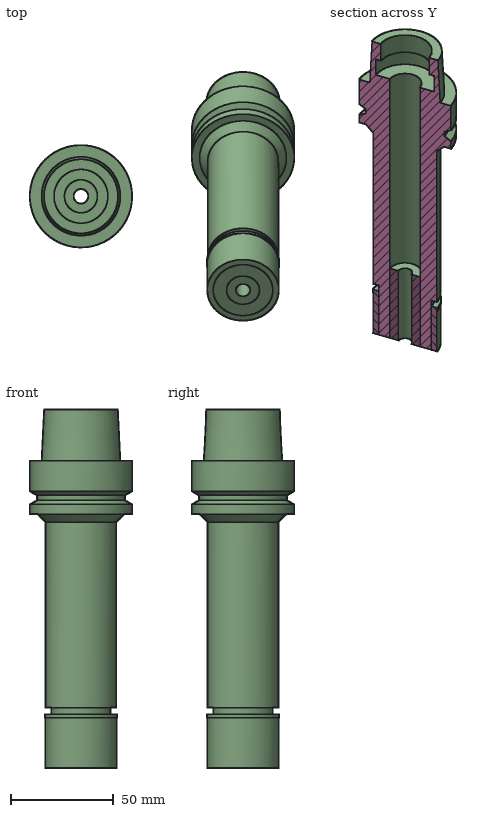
import cadquery as cq
import math

length = 175.0

taper_length = 25.0
taper_top_radius = 18.0
taper_base_radius = 19.2
mouth_radius = 13.1
mouth_depth = 10.3
undercut_radius = 15.8
bore_depth = 19.5
passage_radius = 8.0

flange_radius = 25.0
flange_height = 26.0
upper_collar_height = 14.9
lower_collar_height = 4.7
groove_radius = 21.5
groove_flank_angle = 30.0
groove_flank_height = (flange_radius - groove_radius) * math.tan(math.radians(groove_flank_angle))

shank_radius = 17.3
shoulder_height = 3.8
shoulder_radius = shank_radius + shoulder_height
neck_radius = 14.5

nut_radius = 17.5
nut_band_radius = 17.7
nut_height = 26.5
nut_band_height = 2.0
nut_gap = 3.2

collet_length = 42.0
collet_bore_radius = 3.5

flange_top = length - taper_length
flange_bottom = flange_top - flange_height
groove_top = flange_top - upper_collar_height
groove_bottom = flange_bottom + lower_collar_height
groove_floor_top = groove_top - groove_flank_height
groove_floor_bottom = groove_bottom + groove_flank_height
shank_bottom = nut_height + nut_gap


def revolve_profile(points):
    """Turn a closed outline of (radius, height) points about the Z axis."""
    return cq.Workplane("XZ").polyline(points).close().revolve(360, (0, 0, 0), (0, 1, 0))


def make_holder():
    """Hollow taper, grooved flange, shank and neck, bored right through."""
    outside = [
        (taper_top_radius, length),
        (taper_base_radius, flange_top),
        (flange_radius, flange_top),
        (flange_radius, groove_top),
        (groove_radius, groove_floor_top),
        (groove_radius, groove_floor_bottom),
        (flange_radius, groove_bottom),
        (flange_radius, flange_bottom),
        (shoulder_radius, flange_bottom),
        (shank_radius, flange_bottom - shoulder_height),
        (shank_radius, shank_bottom),
        (neck_radius, shank_bottom),
        (neck_radius, 0),
    ]
    inside = [
        (passage_radius, 0),
        (passage_radius, length - bore_depth),
        (undercut_radius, length - bore_depth),
        (undercut_radius, length - mouth_depth),
        (mouth_radius, length - mouth_depth),
        (mouth_radius, length),
    ]
    return revolve_profile(outside + inside)


def make_nut():
    """Sleeve around the neck, with a very slightly raised band at its top."""
    return revolve_profile([
        (neck_radius, 0),
        (nut_radius, 0),
        (nut_radius, nut_height - nut_band_height),
        (nut_band_radius, nut_height - nut_band_height),
        (nut_band_radius, nut_height),
        (neck_radius, nut_height),
    ])


def make_collet():
    """Bushing that fills the lower end of the holder's passage."""
    return (
        cq.Workplane("XY")
        .circle(passage_radius)
        .circle(collet_bore_radius)
        .extrude(collet_length)
    )


holder = make_holder()
nut = make_nut()
collet = make_collet()

result = cq.Compound.makeCompound([holder.val(), nut.val(), collet.val()])